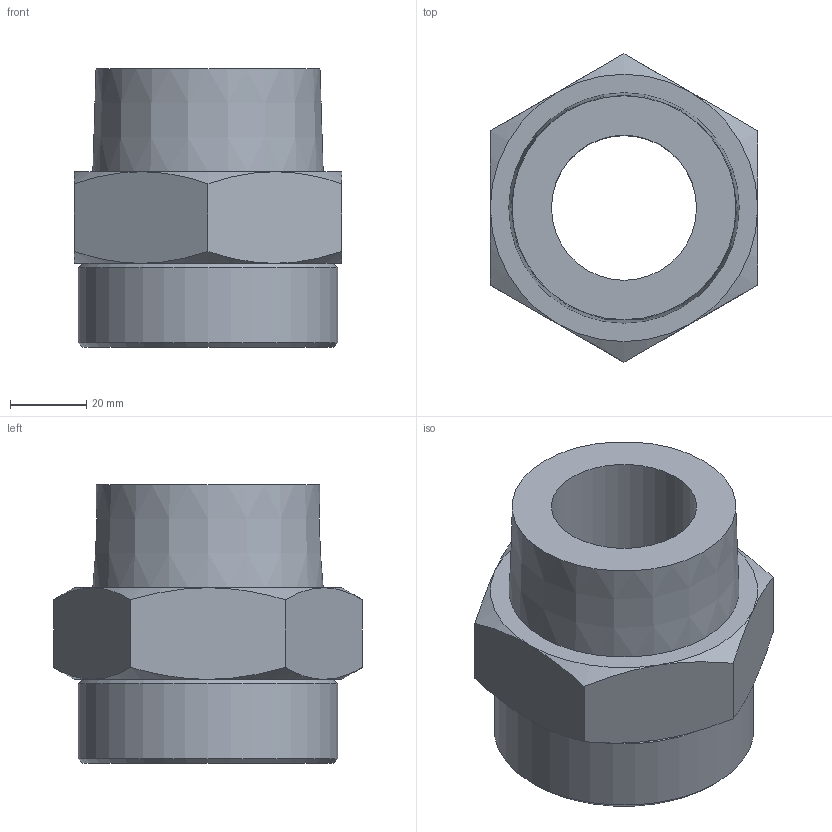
import cadquery as cq
import math

total_height = 73.0
bore_diameter = 38.0

spigot_diameter = 68.0
spigot_chamfer = 1.2

hex_sides = 6
hex_across_flats = 70.0
hex_base_z = 22.0
hex_height = 24.0
hex_corner_direction = 90.0
hex_chamfer_angle = 30.0

taper_ratio = 1 / 16
taper_top_diameter = 58.65

hex_across_corners = hex_across_flats / math.cos(math.pi / hex_sides)
hex_top_z = hex_base_z + hex_height
taper_length = total_height - hex_top_z
taper_base_diameter = taper_top_diameter + taper_length * taper_ratio


def revolve_profile(radius_height_points):
    """Revolve a closed (radius, z) outline about the Z axis."""
    profile = cq.Workplane("XZ").polyline(radius_height_points).close()
    return profile.revolve(360, (0, 0, 0), (0, 1, 0))


def make_lower_spigot():
    """Straight cylinder below the hexagon, chamfered at both ends."""
    spigot = cq.Workplane("XY").circle(spigot_diameter / 2).extrude(hex_base_z)
    return spigot.edges("%CIRCLE").chamfer(spigot_chamfer)


def make_hexagon():
    """Hexagonal prism whose corners are coned off at both ends."""
    prism = (
        cq.Workplane("XY", origin=(0, 0, hex_base_z))
        .transformed(rotate=(0, 0, hex_corner_direction))
        .polygon(hex_sides, hex_across_corners)
        .extrude(hex_height)
    )
    face_radius = hex_across_flats / 2
    corner_radius = hex_across_corners / 2
    corner_drop = (corner_radius - face_radius) * math.tan(math.radians(hex_chamfer_angle))
    cone_envelope = revolve_profile([
        (0, hex_base_z),
        (face_radius, hex_base_z),
        (corner_radius, hex_base_z + corner_drop),
        (corner_radius, hex_top_z - corner_drop),
        (face_radius, hex_top_z),
        (0, hex_top_z),
    ])
    return prism.intersect(cone_envelope)


def make_tapered_spigot():
    """Slightly conical spigot above the hexagon, narrowing upwards."""
    return revolve_profile([
        (0, hex_top_z),
        (taper_base_diameter / 2, hex_top_z),
        (taper_top_diameter / 2, total_height),
        (0, total_height),
    ])


def make_bore():
    """Straight passage through the whole height."""
    return cq.Workplane("XY").circle(bore_diameter / 2).extrude(total_height)


body = make_lower_spigot().union(make_hexagon()).union(make_tapered_spigot())
result = body.cut(make_bore())